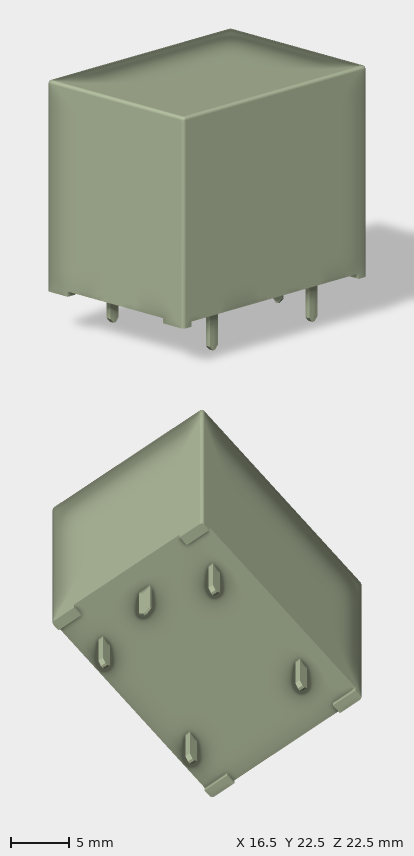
import cadquery as cq

WIDTH = 16.5
LENGTH = 22.5
TOTAL_HEIGHT = 22.5
PIN_PROTRUSION = 3.5
EDGE_RADIUS = 0.3

FOOT_HEIGHT = 0.47
FOOT_WIDTH = 2.48
FOOT_LENGTH = 1.0

SIDE_PIN_X = 6.0
SIDE_PIN_YS = (6.73, -5.5)
SIDE_PIN_WIDTH = 1.0
SIDE_PIN_THICKNESS = 0.5
SIDE_TIP_HEIGHT = 0.4

CENTER_PIN_Y = 8.68
CENTER_PIN_WIDTH = 1.2
CENTER_PIN_THICKNESS = 0.2
CENTER_TIP_HEIGHT = 0.47

TIP_FLAT = 0.25
PIN_EMBED = 0.22

FOOT_Z = PIN_PROTRUSION
BASE_Z = FOOT_Z + FOOT_HEIGHT


def make_housing():
    """Rounded block with a foot at each bottom corner."""
    block = (
        cq.Workplane("XY")
        .workplane(offset=FOOT_Z)
        .rect(WIDTH, LENGTH)
        .extrude(TOTAL_HEIGHT - FOOT_Z)
        .edges("|Z or >Z")
        .fillet(EDGE_RADIUS)
    )
    channel_sizes = (
        (WIDTH - 2 * FOOT_WIDTH, LENGTH),
        (WIDTH, LENGTH - 2 * FOOT_LENGTH),
    )
    for size_x, size_y in channel_sizes:
        channel = (
            cq.Workplane("XY")
            .workplane(offset=FOOT_Z)
            .rect(size_x, size_y)
            .extrude(FOOT_HEIGHT)
        )
        block = block.cut(channel)
    return block


def make_pin(plane, width, thickness, tip_height):
    """Flat pin with a tapered blunt tip, drawn on a vertical plane."""
    top_z = BASE_Z + PIN_EMBED
    outline = [
        (-width / 2, top_z),
        (-width / 2, tip_height),
        (-TIP_FLAT / 2, 0),
        (TIP_FLAT / 2, 0),
        (width / 2, tip_height),
        (width / 2, top_z),
    ]
    return cq.Workplane(plane).polyline(outline).close().extrude(thickness / 2, both=True)


result = make_housing()

side_pin = make_pin("YZ", SIDE_PIN_WIDTH, SIDE_PIN_THICKNESS, SIDE_TIP_HEIGHT)
for pin_x in (-SIDE_PIN_X, SIDE_PIN_X):
    for pin_y in SIDE_PIN_YS:
        result = result.union(side_pin.translate((pin_x, pin_y, 0)))

center_pin = make_pin("XZ", CENTER_PIN_WIDTH, CENTER_PIN_THICKNESS, CENTER_TIP_HEIGHT)
result = result.union(center_pin.translate((0, CENTER_PIN_Y, 0)))